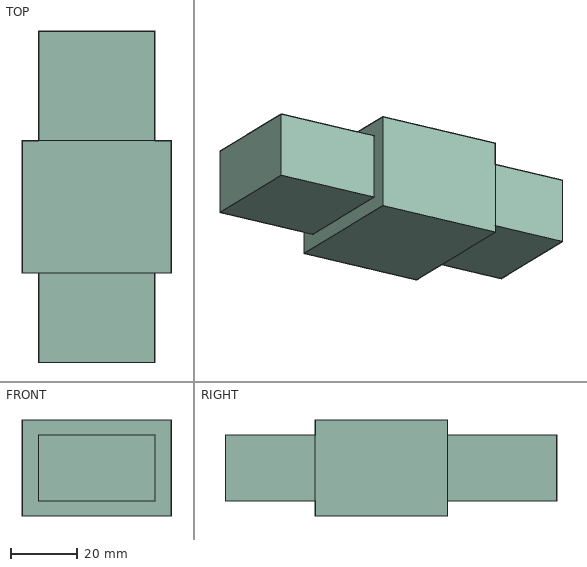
import cadquery as cq

BAR_WIDTH = 35.0
BAR_LENGTH = 100.0
BAR_HEIGHT = 20.0

SLEEVE_WIDTH = 45.0
SLEEVE_LENGTH = 40.0
SLEEVE_HEIGHT = 29.0
FRONT_OVERHANG = 27.0

SLEEVE_CENTER_Y = -BAR_LENGTH / 2 + FRONT_OVERHANG + SLEEVE_LENGTH / 2


def make_bar():
    """Solid bar centred on the origin."""
    return cq.Workplane("XY").box(BAR_WIDTH, BAR_LENGTH, BAR_HEIGHT)


def make_sleeve():
    """Block with a through opening that fits the bar."""
    block = cq.Workplane("XY").box(SLEEVE_WIDTH, SLEEVE_LENGTH, SLEEVE_HEIGHT)
    opening = cq.Workplane("XY").box(BAR_WIDTH, SLEEVE_LENGTH, BAR_HEIGHT)
    return block.cut(opening).translate((0, SLEEVE_CENTER_Y, 0))


bar = make_bar()
sleeve = make_sleeve()

result = cq.Compound.makeCompound([bar.val(), *sleeve.solids().vals()])